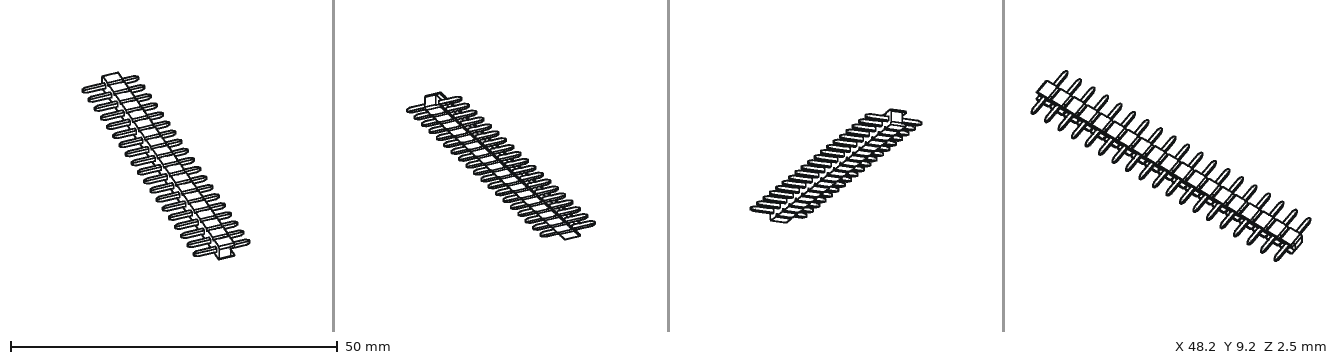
import cadquery as cq

strip_length = 48.25
pin_count = 19
pitch = strip_length / pin_count

housing_height = 2.5
front_y = -0.9
back_y = front_y + pitch
corner_width = 0.305
corner_height = 0.4

channel_floor_y = 0.9
lip_thickness = 0.35
channel_height = housing_height - 2 * lip_thickness

pin_length = 9.2
pin_width = 0.65
tip_width = 0.325
tip_length = 0.6
pin_shift = -0.1


def make_cell(x):
    """Octagonal housing cell centred at x, extruded from front to back."""
    half_width = pitch / 2
    half_height = housing_height / 2
    flat_x = half_width - corner_width
    flat_z = half_height - corner_height
    outline = [
        (-flat_x, -half_height),
        (flat_x, -half_height),
        (half_width, -flat_z),
        (half_width, flat_z),
        (flat_x, half_height),
        (-flat_x, half_height),
        (-half_width, flat_z),
        (-half_width, -flat_z),
    ]
    return (
        cq.Workplane("XZ", origin=(x, front_y, 0))
        .polyline(outline)
        .close()
        .extrude(front_y - back_y)
    )


def make_channel():
    """Cutter for the channel, running the whole length of the strip."""
    depth = back_y - channel_floor_y
    cutter = cq.Workplane("XY").box(strip_length, depth, channel_height)
    return cutter.translate((0, channel_floor_y + depth / 2, 0))


def make_pin(x):
    """Square pin along Y with a tapered tip at each end."""
    shank_length = pin_length - 2 * tip_length
    pin = cq.Workplane("XY").box(pin_width, shank_length, pin_width)
    for end_face in ("<Y", ">Y"):
        tip = (
            pin.faces(end_face)
            .workplane(centerOption="CenterOfBoundBox")
            .rect(pin_width, pin_width)
            .workplane(offset=tip_length)
            .rect(tip_width, tip_width)
            .loft(combine=False)
        )
        pin = pin.union(tip)
    return pin.translate((x, 0, 0))


cell_positions = [(i - (pin_count - 1) / 2) * pitch for i in range(pin_count)]

housing = make_cell(cell_positions[0])
for x in cell_positions[1:]:
    housing = housing.union(make_cell(x))

result = housing.cut(make_channel())
for x in cell_positions:
    result = result.union(make_pin(x + pin_shift))